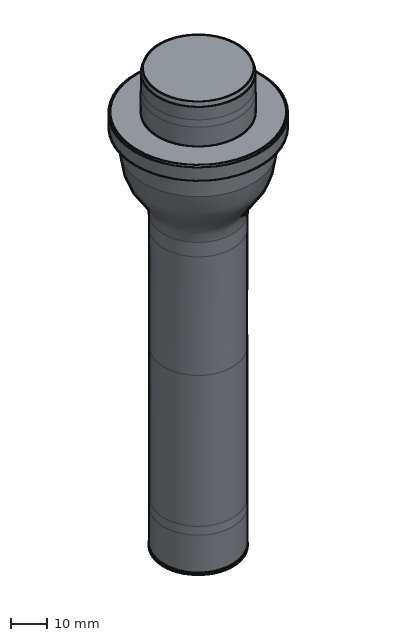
import cadquery as cq

total_height = 166.0
pad_dome_height = 1.0
pad_rim_height = 1.0
foot_top = 15.0
foot_taper_top = 18.0
shaft_top = 70.0
neck_bottom = 111.0
neck_top = 116.0
bell_inflection = 120.5
bell_bulge = 127.0
bell_top = 138.0
flange_bottom = 145.7
flange_top = 150.9
cap_step_bottom = 157.5
cap_step_top = 160.0
cap_edge_height = 1.5

shaft_radius = 27.0 / 2
neck_radius = 27.2 / 2
pad_radius = 27.4 / 2
bell_inflection_radius = 14.5
bell_bulge_radius = 18.5
bell_radius = 43.3 / 2
flange_radius = 49.5 / 2
cap_base_radius = 31.7 / 2
cap_radius = 31.5 / 2
cap_edge_inset = 0.5
flange_chamfer = 0.5

bell_points = [
    (bell_inflection_radius, bell_inflection),
    (bell_bulge_radius, bell_bulge),
    (bell_radius, bell_top),
]
bell_top_tangent = (0.12, 1)

pad_top = pad_dome_height + pad_rim_height
pad_round = pad_rim_height / 2


def make_handle():
    """Shaft, bell, flange and cap revolved about Z as one body."""
    profile = (
        cq.Workplane("XZ")
        .moveTo(0, pad_top)
        .lineTo(neck_radius, pad_top)
        .lineTo(neck_radius, foot_top)
        .lineTo(shaft_radius, foot_taper_top)
        .lineTo(shaft_radius, shaft_top)
        .lineTo(neck_radius, neck_bottom)
        .lineTo(neck_radius, neck_top)
        .spline(bell_points, tangents=[(0, 1), bell_top_tangent], includeCurrent=True)
        .lineTo(bell_radius, flange_bottom)
        .lineTo(flange_radius, flange_bottom)
        .lineTo(flange_radius, flange_top - flange_chamfer)
        .lineTo(flange_radius - flange_chamfer, flange_top)
        .lineTo(cap_base_radius, flange_top)
        .lineTo(cap_base_radius, cap_step_bottom)
        .lineTo(cap_radius, cap_step_top)
        .lineTo(cap_radius, total_height - cap_edge_height)
        .lineTo(cap_radius - cap_edge_inset, total_height)
        .lineTo(0, total_height)
        .close()
    )
    return profile.revolve(360, (0, 0, 0), (0, 1, 0))


def make_end_pad():
    """Disc with a half-round rim and a shallow domed underside."""
    flat_radius = pad_radius - pad_round
    dome_radius = (flat_radius**2 + pad_dome_height**2) / (2 * pad_dome_height)
    dome_mid_radius = flat_radius / 2
    dome_mid_height = dome_radius - (dome_radius**2 - dome_mid_radius**2) ** 0.5
    profile = (
        cq.Workplane("XZ")
        .moveTo(0, 0)
        .threePointArc((dome_mid_radius, dome_mid_height), (flat_radius, pad_dome_height))
        .threePointArc((pad_radius, pad_dome_height + pad_round), (flat_radius, pad_top))
        .lineTo(0, pad_top)
        .close()
    )
    return profile.revolve(360, (0, 0, 0), (0, 1, 0))


handle = make_handle()
end_pad = make_end_pad()

result = cq.Compound.makeCompound([handle.val(), end_pad.val()])